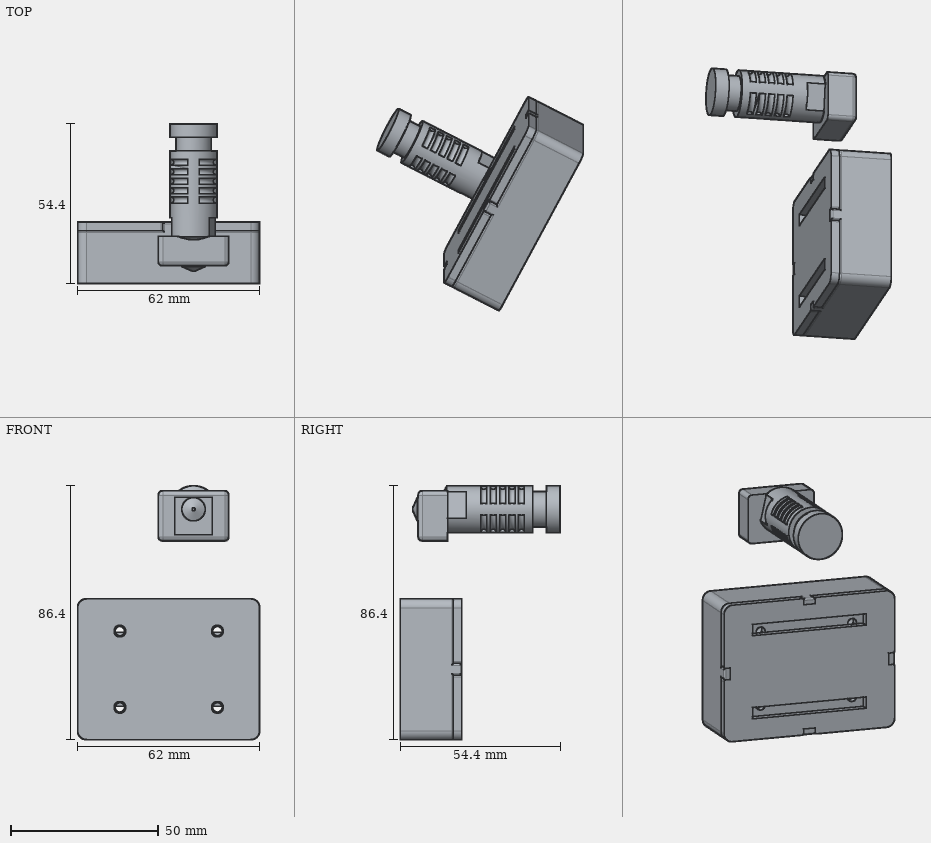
import cadquery as cq

CASE_WIDTH = 62.0
CASE_HEIGHT = 48.0
CASE_DEPTH = 21.0
CORNER_RADIUS = 3.0
LID_THICKNESS = 2.9
LEDGE_Y = CASE_DEPTH - LID_THICKNESS

TONGUE_WIDTH = 4.1
TONGUE_THICKNESS = 2.2
SEAM_RADIUS = 0.6
OUTER_BAND = 1.0

SCREW_X = 16.6
SCREW_Z = 13.0
BORE_DIAMETER = 4.0
THROUGH_DIAMETER = 3.2
WEB_THICKNESS = 3.0
SLOT_INNER_Z = 12.6
SLOT_HEIGHT = BORE_DIAMETER
SLOT_WIDTH = 2 * (SCREW_X + BORE_DIAMETER)

TOTAL_HEIGHT = 86.4
HANDLE_RADIUS = 8.0
AXIS_X = 8.5
AXIS_Z = TOTAL_HEIGHT - CASE_HEIGHT / 2 - HANDLE_RADIUS
NECK_RADIUS = 6.05
HANDLE_END_Y = 54.4
KNOB_LENGTH = 4.7
NECK_LENGTH = 4.6
NECK_BACK_Y = HANDLE_END_Y - KNOB_LENGTH
NECK_FRONT_Y = NECK_BACK_Y - NECK_LENGTH

GROOVE_ROWS = 4
GROOVES_PER_ROW = 5
GROOVE_PITCH = 3.2
GROOVE_RADIUS = 1.0
LAST_GROOVE_Y = 41.2
GROOVE_GAP_ANGLE = 29
ROW_ANGLE = 360 / GROOVE_ROWS

FLAT_DISTANCE = 6.6
FLAT_BACK_Y = 22.4
FLAT_TILT = 13

HEAD_WIDTH = 24.0
HEAD_TOP = 6.3
HEAD_BOTTOM = -10.8
HEAD_HEIGHT = HEAD_TOP - HEAD_BOTTOM
HEAD_CENTER_Z = (HEAD_TOP + HEAD_BOTTOM) / 2
HEAD_FRONT_Y = 6.05
HEAD_BACK_Y = 16.2
HEAD_RADIUS = 1.5

SOCKET_DEPTH = 0.3
HANDLE_CHAMFER_LENGTH = 1.0
HANDLE_CHAMFER_DEPTH = 1.8
HANDLE_SHOULDER_Y = HEAD_BACK_Y - SOCKET_DEPTH
HANDLE_FRONT_Y = HANDLE_SHOULDER_Y - HANDLE_CHAMFER_LENGTH

INSERT_SIDE = 12.8
INSERT_DEPTH = 3.0
INSERT_BACK_Y = HEAD_FRONT_Y + INSERT_DEPTH
TIP_RADIUS = 4.0
TIP_END_RADIUS = 0.5
TIP_RIM = 0.3
TIP_HEIGHT = 1.8


def block(width, height, y_front, y_back, x=0, z=0):
    """Box centred on x and z, running from y_front to y_back."""
    length = y_back - y_front
    return cq.Workplane("XY").box(width, length, height).translate((x, y_front + length / 2, z))


def hole_tool(diameter, y_back, x, z):
    """Cylinder along Y, from the front of the case to y_back."""
    return cq.Workplane("XZ", origin=(x, 0, z)).circle(diameter / 2).extrude(-y_back)


def case_slice(y_front, y_back):
    """Slice of the round-cornered case."""
    return block(CASE_WIDTH, CASE_HEIGHT, y_front, y_back).edges("|Y").fillet(CORNER_RADIUS)


def turned(points):
    """Solid of revolution about Y from (radius, y) points."""
    return cq.Workplane("XY").polyline(points).close().revolve(360, (0, 0), (0, 1))


def about_y(shape, angle):
    """Turn a shape about the Y axis; a positive angle turns +Z towards +X."""
    return shape.rotate((0, 0, 0), (0, 1, 0), angle)


def on_handle_axis(shape):
    """Move a shape built around the Y axis onto the handle axis."""
    return shape.translate((AXIS_X, 0, AXIS_Z))


def make_tongues():
    tall = block(TONGUE_WIDTH, CASE_HEIGHT, LEDGE_Y, CASE_DEPTH)
    wide = block(CASE_WIDTH, TONGUE_WIDTH, LEDGE_Y, CASE_DEPTH)
    core_width = CASE_WIDTH - 2 * TONGUE_THICKNESS
    core_height = CASE_HEIGHT - 2 * TONGUE_THICKNESS
    return tall.union(wide).cut(block(core_width, core_height, LEDGE_Y, CASE_DEPTH))


def is_outer(edge):
    """True for an edge on the outside of the case."""
    center = edge.Center()
    beyond_x = abs(center.x) > CASE_WIDTH / 2 - OUTER_BAND
    beyond_z = abs(center.z) > CASE_HEIGHT / 2 - OUTER_BAND
    return beyond_x or beyond_z


def is_seam_edge(edge):
    """True for an outer edge of the ledge or of a tongue."""
    return is_outer(edge) and edge.BoundingBox().ymin > LEDGE_Y - SEAM_RADIUS


def is_notch_edge(edge):
    """True for an outer edge beside a tongue."""
    center = edge.Center()
    return is_outer(edge) and min(abs(center.x), abs(center.z)) < TONGUE_WIDTH


def make_housing(tongues):
    housing = case_slice(0, LEDGE_Y).union(tongues)
    housing = housing.edges().filter(is_seam_edge).fillet(SEAM_RADIUS)
    for x in (-SCREW_X, SCREW_X):
        for z in (-SCREW_Z, SCREW_Z):
            housing = housing.cut(hole_tool(BORE_DIAMETER, LEDGE_Y - WEB_THICKNESS, x, z))
            housing = housing.cut(hole_tool(THROUGH_DIAMETER, LEDGE_Y, x, z))
    return housing


def make_lid(tongues):
    lid = case_slice(LEDGE_Y, CASE_DEPTH).cut(tongues)
    lid = lid.edges("|Y").filter(is_notch_edge).fillet(SEAM_RADIUS)
    slot_z = SLOT_INNER_Z + SLOT_HEIGHT / 2
    for z in (-slot_z, slot_z):
        lid = lid.cut(block(SLOT_WIDTH, SLOT_HEIGHT, LEDGE_Y, CASE_DEPTH, z=z))
    return lid


def groove_tool(y, start_angle):
    """Round bar bent around the handle, spanning one groove."""
    bar = (
        cq.Workplane("XY")
        .center(HANDLE_RADIUS, y)
        .circle(GROOVE_RADIUS)
        .revolve(ROW_ANGLE - GROOVE_GAP_ANGLE, (-HANDLE_RADIUS, 0), (-HANDLE_RADIUS, 1))
    )
    return about_y(bar, start_angle)


def cut_grooves(handle):
    for row in range(GROOVE_ROWS):
        start_angle = row * ROW_ANGLE + GROOVE_GAP_ANGLE / 2
        for i in range(GROOVES_PER_ROW):
            handle = handle.cut(groove_tool(LAST_GROOVE_Y - i * GROOVE_PITCH, start_angle))
    return handle


def cut_flats(handle):
    flat_x = FLAT_DISTANCE + HANDLE_RADIUS / 2
    for x in (-flat_x, flat_x):
        waste = block(HANDLE_RADIUS, 2 * HANDLE_RADIUS, HANDLE_FRONT_Y, FLAT_BACK_Y, x=x)
        handle = handle.cut(about_y(waste, -FLAT_TILT))
    return handle


def make_handle():
    handle = turned([
        (0, HANDLE_FRONT_Y),
        (HANDLE_RADIUS - HANDLE_CHAMFER_DEPTH, HANDLE_FRONT_Y),
        (HANDLE_RADIUS, HANDLE_SHOULDER_Y),
        (HANDLE_RADIUS, NECK_FRONT_Y),
        (NECK_RADIUS, NECK_FRONT_Y),
        (NECK_RADIUS, NECK_BACK_Y),
        (HANDLE_RADIUS, NECK_BACK_Y),
        (HANDLE_RADIUS, HANDLE_END_Y),
        (0, HANDLE_END_Y),
    ])
    return cut_flats(cut_grooves(handle))


def make_tip():
    return turned([
        (0, INSERT_BACK_Y),
        (TIP_RADIUS, INSERT_BACK_Y),
        (TIP_RADIUS, HEAD_FRONT_Y - TIP_RIM),
        (TIP_END_RADIUS, HEAD_FRONT_Y - TIP_HEIGHT),
        (0, HEAD_FRONT_Y - TIP_HEIGHT),
    ])


def make_insert_blank():
    """Square insert before the tip hole is cut; it also shapes its pocket in the head."""
    return block(INSERT_SIDE, INSERT_SIDE, HEAD_FRONT_Y, INSERT_BACK_Y, z=HEAD_CENTER_Z)


def make_head(handle, insert_blank):
    """Head rounded everywhere but at the back, with pockets for the handle and the insert."""
    head = block(HEAD_WIDTH, HEAD_HEIGHT, HEAD_FRONT_Y, HEAD_BACK_Y, z=HEAD_CENTER_Z)
    return head.edges("|Y or <Y").fillet(HEAD_RADIUS).cut(insert_blank).cut(handle)


tongues = make_tongues()
housing = make_housing(tongues)
lid = make_lid(tongues)

handle = make_handle()
tip = make_tip()
insert_blank = make_insert_blank()
head = make_head(handle, insert_blank)
insert = insert_blank.cut(tip)

case_bodies = [housing, lid]
handle_bodies = [on_handle_axis(body) for body in (handle, head, insert, tip)]
result = cq.Compound.makeCompound([body.solids().val() for body in case_bodies + handle_bodies])